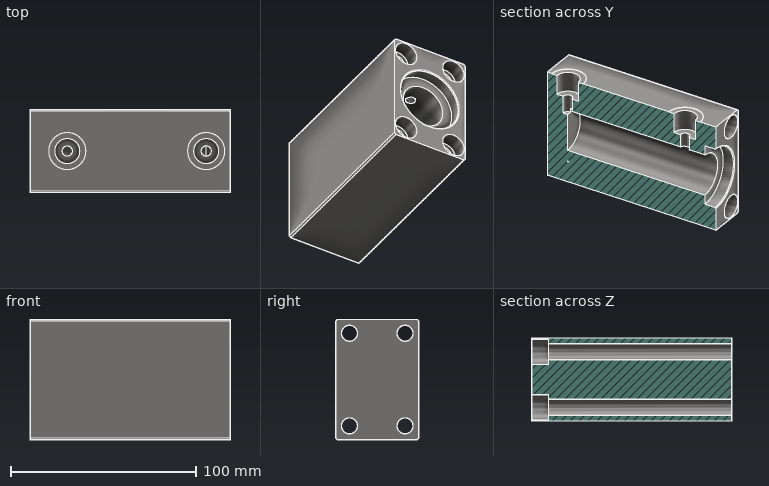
import cadquery as cq

length = 108.0
width = 45.0
height = 65.0
edge_chamfer = 1.0

bore_diameter = 25.0
bore_depth = 95.0
recess_diameter = 36.4
recess_depth = 7.0
recess_chamfer = 0.5

bolt_spacing_y = 30.0
bolt_spacing_z = 50.0
bolt_diameter = 8.5
bolt_head_diameter = 13.5
bolt_head_depth = 9.0

front_port_x = 20.0
rear_port_x = bore_depth
port_seat_diameter = 20.0
port_seat_depth = 0.2
port_diameter = 13.5
port_depth = 12.0
passage_diameter = 5.5
passage_floor_z = 10.0


def make_block():
    """Rectangular block with its four long edges chamfered."""
    block = cq.Workplane("XY").box(length, width, height, centered=(False, True, True))
    return block.edges("|X").chamfer(edge_chamfer)


def bore_along_x(diameter, depth):
    """Cylinder on the X axis, reaching from the open end to the given depth."""
    return cq.Workplane("YZ").circle(diameter / 2).extrude(depth)


def cylinder_bore():
    """Bore and recess, with a chamfer at the mouth of the recess."""
    mouth_radius = recess_diameter / 2 + recess_chamfer
    mouth_face = cq.Workplane("YZ").circle(mouth_radius)
    mouth = mouth_face.workplane(offset=recess_chamfer).circle(recess_diameter / 2).loft()
    recess = bore_along_x(recess_diameter, recess_depth)
    return bore_along_x(bore_diameter, bore_depth).union(recess).union(mouth)


def bolt_hole(y, z):
    """Counterbored through hole parallel to the X axis."""
    shank = bore_along_x(bolt_diameter, length)
    head = bore_along_x(bolt_head_diameter, bolt_head_depth)
    return shank.union(head).translate((0, y, z))


def port(x):
    """Shallow seat, port hole and narrow passage, drilled down from the top face."""
    top_z = height / 2
    steps = (
        (port_seat_diameter, port_seat_depth),
        (port_diameter, port_depth),
        (passage_diameter, top_z - passage_floor_z),
    )
    cutter = cq.Workplane("XY")
    for diameter, depth in steps:
        step = cq.Workplane("XY", origin=(x, 0, top_z)).circle(diameter / 2).extrude(-depth)
        cutter = cutter.add(step)
    return cutter.combine()


result = make_block().cut(cylinder_bore())

for y_side in (-1, 1):
    for z_side in (-1, 1):
        result = result.cut(bolt_hole(y_side * bolt_spacing_y / 2, z_side * bolt_spacing_z / 2))

for port_x in (front_port_x, rear_port_x):
    result = result.cut(port(port_x))